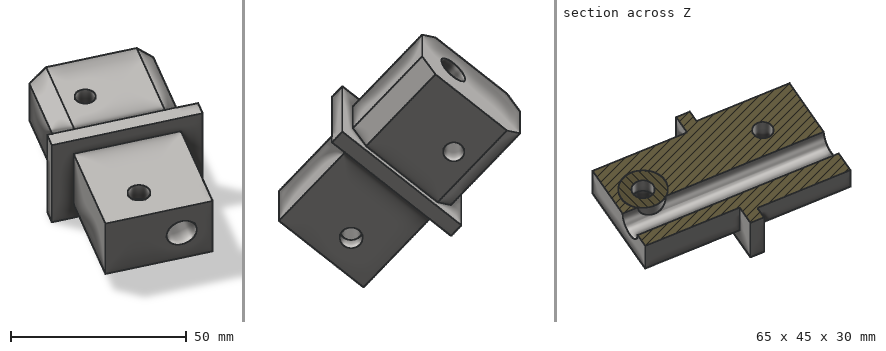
import cadquery as cq

total_length = 65.0
plug_length = 30.0
flange_length = 4.5
tongue_length = total_length - plug_length - flange_length
plug_start = -total_length / 2
flange_start = plug_start + plug_length
tongue_start = flange_start + flange_length
tongue_end = tongue_start + tongue_length

plug_width = 37.0
plug_height = 24.4
plug_chamfer = 5.0
flange_width = 45.0
flange_height = 30.0
tongue_width = 32.0
tongue_height = 19.6

bore_diameter = 9.0
bore_y = 6.75

plug_hole_diameter = 6.0
plug_hole_x = plug_start + plug_length / 2
plug_hole_y = -6.5

tongue_hole_diameter = 6.5
tongue_hole_x = tongue_end - 9.5
tongue_hole_y = -3.05
bushing_diameter = 14.0
bushing_height = bore_diameter


def block(start, length, width, height):
    """Box starting at a given X, centred in Y and Z."""
    return cq.Workplane("XY").box(length, width, height).translate((start + length / 2, 0, 0))


def upright_cylinder(x, y, diameter, height):
    """Vertical cylinder centred at Z = 0."""
    return cq.Workplane("XY").center(x, y).circle(diameter / 2).extrude(height / 2, both=True)


def make_bushing_blank():
    """Solid cylinder with the outer shape of the bushing."""
    return upright_cylinder(tongue_hole_x, tongue_hole_y, bushing_diameter, bushing_height)


def make_tongue_hole():
    """Cutter for the hole through both the tongue and the bushing."""
    return upright_cylinder(tongue_hole_x, tongue_hole_y, tongue_hole_diameter, flange_height)


def make_housing():
    """Chamfered plug, flange and tongue, with the bores and the bushing recess."""
    plug = block(plug_start, plug_length, plug_width, plug_height).edges("|X").chamfer(plug_chamfer)
    flange = block(flange_start, flange_length, flange_width, flange_height)
    tongue = block(tongue_start, tongue_length, tongue_width, tongue_height)
    bore = (
        cq.Workplane("YZ", origin=(plug_start, bore_y, 0))
        .circle(bore_diameter / 2)
        .extrude(total_length)
    )
    plug_hole = upright_cylinder(plug_hole_x, plug_hole_y, plug_hole_diameter, flange_height)
    body = plug.union(flange).union(tongue)
    return body.cut(bore).cut(plug_hole).cut(make_tongue_hole()).cut(make_bushing_blank())


def make_bushing():
    """Upright bushing inside the tongue; its side shows in the lengthwise bore."""
    return make_bushing_blank().cut(make_tongue_hole())


housing = make_housing()
bushing = make_bushing()

result = cq.Compound.makeCompound([housing.val(), bushing.val()])